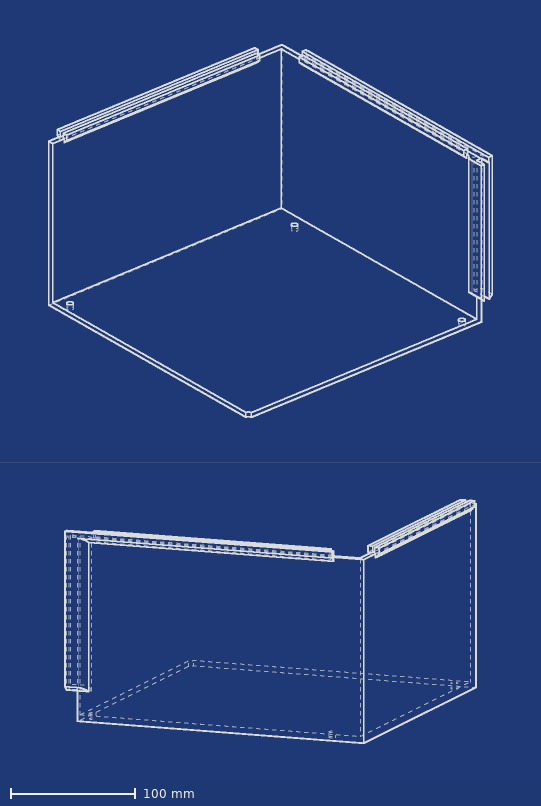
import cadquery as cq
import math

overall_x = 259.2
overall_y = 249.0
overall_z = 155.0
wall = 5.2
floor = 4.5
rail_rise = 5.0
rail_reach = 3.4
rail_thick = 4.1

box_x = 246.5
box_y = overall_y - rail_reach
box_z = overall_z - rail_rise
tab_end = overall_x - rail_reach

left_rail_start = 12.0
left_outer_end = 220.0
left_inner_end = 215.0
back_outer_start = 26.0
back_inner_start = 31.0
back_inner_end = 234.3

flange_bottom = 25.0
flange_angle = 46.0
root_radius = rail_reach / (1 - math.cos(math.radians(flange_angle)))
root_run = root_radius * math.sin(math.radians(flange_angle))
root_end = 244.5
root_start = root_end - root_run

hole_diameter = 5.5
hole_places = [(33.2, 230.7), (239.5, 230.7), (15.0, 9.8)]
notch_radius = 3.0


def block(x0, x1, y0, y1, z0, z1):
    """Axis-aligned block between opposite corners."""
    return cq.Workplane("XY").box(x1 - x0, y1 - y0, z1 - z0, centered=False).translate((x0, y0, z0))


def rail_outline(plane, face, outward):
    """Rail section: a strip partly resting on the wall top, with a 45 degree gusset to the wall face."""
    tip = face + outward * rail_reach
    back = tip - outward * rail_thick
    return (
        cq.Workplane(plane)
        .moveTo(tip, overall_z)
        .lineTo(tip, box_z)
        .lineTo(face, box_z - rail_reach)
        .lineTo(face, box_z)
        .lineTo(back, box_z)
        .lineTo(back, overall_z)
        .close()
    )


def left_rail(face, outward, end):
    """Rail along Y on the left wall."""
    outline = rail_outline("XZ", face, outward)
    return outline.extrude(left_rail_start - end).translate((0, left_rail_start, 0))


def back_rail(face, outward, start, end):
    """Rail along X on the back wall."""
    return rail_outline("YZ", face, outward).extrude(end - start).translate((start, 0, 0))


def flange(face, outward):
    """Upright flange growing from the back wall by a curved root, with a sloping lower end."""
    tip = face + outward * rail_reach
    half = math.radians(flange_angle / 2)
    arc_middle = (
        root_end - root_radius * math.sin(half),
        tip - outward * root_radius * (1 - math.cos(half)),
    )
    plan = (
        cq.Workplane("XY", origin=(0, 0, flange_bottom))
        .moveTo(root_start, face)
        .threePointArc(arc_middle, (root_end, tip))
        .lineTo(tab_end, tip)
        .lineTo(tab_end, face)
        .close()
        .extrude(box_z - flange_bottom)
    )
    lower_slope = (
        cq.Workplane("YZ", origin=(root_start, 0, 0))
        .moveTo(face, flange_bottom)
        .lineTo(tip, flange_bottom + rail_reach)
        .lineTo(tip, flange_bottom)
        .close()
        .extrude(tab_end - root_start)
    )
    return plan.cut(lower_slope)


back_inner_face = box_y - wall

result = (
    block(0, box_x, 0, box_y, 0, floor)
    .union(block(0, wall, 0, box_y, 0, box_z))
    .union(block(0, box_x, back_inner_face, box_y, 0, box_z))
    .union(left_rail(0, -1, left_outer_end))
    .union(left_rail(wall, 1, left_inner_end))
    .union(back_rail(box_y, 1, back_outer_start, tab_end))
    .union(back_rail(back_inner_face, -1, back_inner_start, back_inner_end))
    .union(flange(box_y, 1))
    .union(flange(back_inner_face, -1))
)

floor_holes = cq.Workplane("XY").pushPoints(hole_places).circle(hole_diameter / 2).extrude(floor)
corner_notch = cq.Workplane("XY").center(box_x, 0).circle(notch_radius).extrude(floor)
result = result.cut(floor_holes).cut(corner_notch)